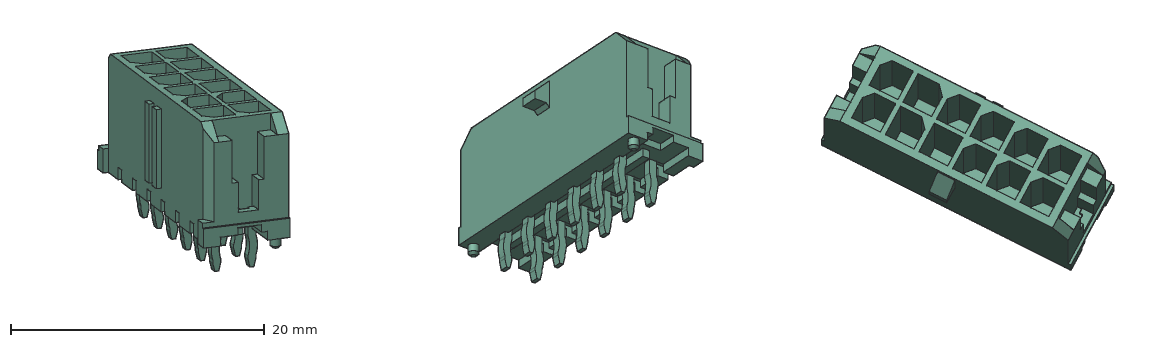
import cadquery as cq


half_width = 10.83
depth = 6.9
height = 9.92
end_wall_x = 9.41
top_chamfer = 1.4
corner_x = 9.88
corner_depth = 0.55
shoulder_z = height - top_chamfer

base_half_width = 11.08
base_height = 1.6
front_reach = 0.45
foot_height = 2.0
channel_height = 0.73
channel_front = 1.0
channel_back = 5.0

columns = 6
pitch = 3.0
grid_x = [(i - (columns - 1) / 2) * pitch for i in range(columns)]

cavity_width = 2.55
cavity_length = 2.61
cavity_front = 0.62
cavity_floor = 2.53
key_x = 0.69
key_y = 0.78
RIGHT, LEFT, PLAIN = 1, -1, 0
front_row_keys = [RIGHT, RIGHT, RIGHT, RIGHT, LEFT, RIGHT]
back_row_keys = [RIGHT, RIGHT, RIGHT, PLAIN, LEFT, RIGHT]

pin_width = 0.7
pin_thickness = 0.69
front_pin_y = 1.66
pin_mid_y = front_pin_y + (pitch + pin_thickness) / 2
pin_top = 1.02
bend_start = -0.53
bend_end = -2.2
bend_rise = 0.13
taper_start = -2.45
pin_tip = -3.17
tip_inset = 0.18


def box(x0, x1, y0, y1, z0, z1):
    """Box between two opposite corners."""
    return cq.Workplane("XY").box(x1 - x0, y1 - y0, z1 - z0, centered=False).translate((x0, y0, z0))


def both_ends(solid):
    """A solid at the +X end together with its mirror image at the -X end."""
    return solid.union(solid.mirror("YZ"))


def housing_shell():
    """Housing block with sloped top ends and bevelled front corners, on its wider base."""
    elevation = [
        (-half_width, 0),
        (half_width, 0),
        (half_width, shoulder_z),
        (half_width - top_chamfer, height),
        (top_chamfer - half_width, height),
        (-half_width, shoulder_z),
    ]
    block = cq.Workplane("XZ").polyline(elevation).close().extrude(-depth)
    bevel = (
        cq.Workplane("XY")
        .polyline([(corner_x, 0), (half_width, 0), (half_width, corner_depth)])
        .close()
        .extrude(height)
    )
    foot = box(corner_x, half_width, -front_reach, channel_front, 0, foot_height)
    flange = box(corner_x, base_half_width, -front_reach, depth, 0, base_height)
    return block.cut(both_ends(bevel)).union(both_ends(foot.union(flange)))


def end_slots():
    """Stepped slot in each end, open at the top, with a shallow sink in its floor."""
    top_front, top_back = 0.95, 5.94
    wide_front, wide_back = 2.08, 4.8
    narrow_front, narrow_back = 2.61, 4.35
    notch_front, notch_back = 3.05, 3.83
    step_z = 5.0
    floor_z = 2.53
    sink_depth = 0.27
    sink_z = floor_z - sink_depth
    sink_x = 9.81
    notch_x = 10.1

    slot = box(end_wall_x, base_half_width, top_front, top_back, shoulder_z, height)
    slot = slot.union(box(end_wall_x, base_half_width, wide_front, wide_back, step_z, height))
    slot = slot.union(box(end_wall_x, base_half_width, narrow_front, narrow_back, floor_z, height))
    slot = slot.union(box(end_wall_x, sink_x, narrow_front, narrow_back, sink_z, floor_z))
    slot = slot.union(box(end_wall_x, notch_x, notch_front, notch_back, sink_z, floor_z))
    return both_ends(slot)


def cavity(x, y0, key):
    """Contact cavity centred on x; its key chamfers one front corner."""
    half = cavity_width / 2
    if key == PLAIN:
        outline = [(-half, 0), (half, 0)]
    else:
        outline = [(-half, 0), (half - key_x, 0), (half, key_y)]
    outline += [(half, cavity_length), (-half, cavity_length)]
    side = LEFT if key == LEFT else RIGHT
    points = [(x + side * px, y0 + py) for px, py in outline]
    return cq.Workplane("XY").workplane(offset=cavity_floor).polyline(points).close().extrude(height)


def underside_cuts():
    """Lengthwise channel with a deeper recess at each end, and a front notch per pin."""
    recess_front, recess_back = 2.45, 4.5
    recess_height = 1.35
    cuts = box(-base_half_width, base_half_width, channel_front, channel_back, 0, channel_height)
    recess = box(end_wall_x, base_half_width, recess_front, recess_back, 0, recess_height)
    cuts = cuts.union(both_ends(recess))
    for x in grid_x:
        cuts = cuts.union(box(x - pin_width / 2, x + pin_width / 2, 0, front_pin_y, 0, pin_top))
    return cuts


def spine():
    """Bar along the middle of the channel, stopping short of the end recesses."""
    spine_half_length = 8.85
    spine_front, spine_back = 3.17, 3.8
    return box(-spine_half_length, spine_half_length, spine_front, spine_back, 0, channel_height)


def front_ribs():
    """Two upright ribs on the front wall."""
    rib_inner, rib_outer = 0.35, 1.2
    return both_ends(box(rib_inner, rib_outer, -front_reach, 0, foot_height, shoulder_z))


def latch():
    """Ramped latch hook on the back wall."""
    latch_half_width = 0.78
    hook_y = 8.33
    hook_bottom = 7.4
    gusset = 0.33
    ramp_top = 9.5
    ramp_bottom = 8.15
    profile = [
        (depth, ramp_top),
        (hook_y, ramp_bottom),
        (hook_y, hook_bottom),
        (depth + gusset, hook_bottom),
        (depth, hook_bottom - gusset),
    ]
    hook = cq.Workplane("YZ").polyline(profile).close()
    return hook.extrude(latch_half_width, both=True)


def locating_pegs():
    """Round peg with a tapered end under each back foot."""
    peg_x, peg_y = 10.45, 5.91
    peg_radius = 0.45
    peg_length = 0.89
    peg_chamfer = 0.22
    peg = (
        cq.Workplane("XY")
        .center(peg_x, peg_y)
        .circle(peg_radius)
        .extrude(-peg_length)
        .faces("<Z")
        .chamfer(peg_chamfer)
    )
    return both_ends(peg)


def front_pin(x):
    """Front-row pin: a bowed strip with a tapered tip."""
    y0 = front_pin_y
    y1 = front_pin_y + pin_thickness
    bend_mid = (bend_start + bend_end) / 2
    return (
        cq.Workplane("YZ", origin=(x, 0, 0))
        .moveTo(y0, pin_top)
        .lineTo(y0, bend_start)
        .threePointArc((y0 - bend_rise, bend_mid), (y0, bend_end))
        .lineTo(y0, taper_start)
        .lineTo(y0 + tip_inset, pin_tip)
        .lineTo(y1 - tip_inset, pin_tip)
        .lineTo(y1, taper_start)
        .lineTo(y1, bend_end)
        .threePointArc((y1 - bend_rise, bend_mid), (y1, bend_start))
        .lineTo(y1, pin_top)
        .close()
        .extrude(pin_width / 2, both=True)
    )


result = housing_shell().cut(end_slots()).cut(underside_cuts())
for x, front_key, back_key in zip(grid_x, front_row_keys, back_row_keys):
    result = result.cut(cavity(x, cavity_front, front_key))
    result = result.cut(cavity(x, cavity_front + pitch, back_key))

result = result.union(spine()).union(front_ribs()).union(latch()).union(locating_pegs())
for x in grid_x:
    pin = front_pin(x)
    result = result.union(pin).union(pin.mirror("XZ", (0, pin_mid_y, 0)))